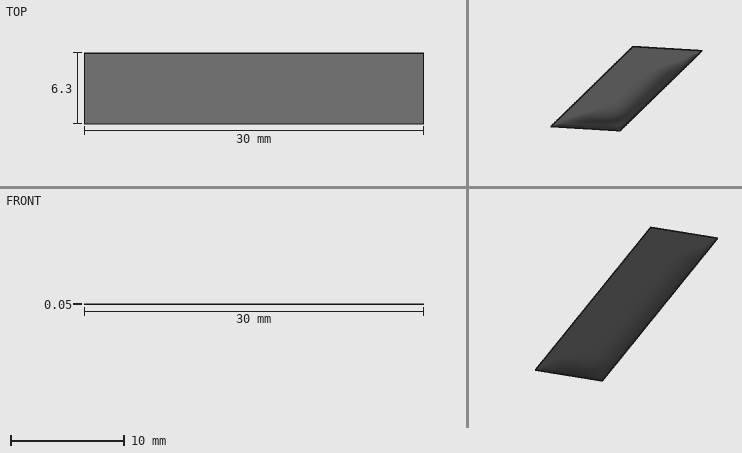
import cadquery as cq

length = 30.0
width = 6.3
thickness = 0.05

result = cq.Workplane("XY").box(length, width, thickness, centered=(True, True, False))